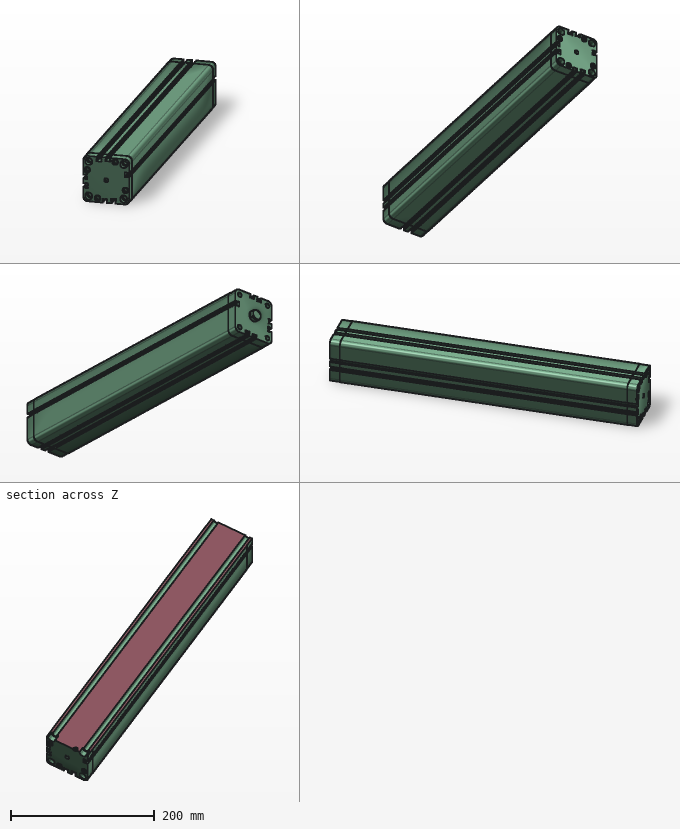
import cadquery as cq

barrel_side = 67.0
cap_step = 0.23
cap_side = barrel_side - 2 * cap_step
length = 453.0
corner_radius = 7.0

rod_length = 7.2
front_cap_length = 14.0
rear_cap_length = 15.0
front_y = -length / 2
rod_tip_y = length / 2
rear_y = rod_tip_y - rod_length
barrel_front_y = front_y + front_cap_length
barrel_rear_y = rear_y - rear_cap_length

slot_mouth_width = 6.0
slot_lip_depth = 3.5
slot_head_width = 7.2
outer_slot_offset = -10.5
outer_slot_depth = 7.0
inner_slot_offset = 2.3
inner_slot_depth = 5.5

mount_offset = 25.5
mount_bore_diameter = 7.0
mount_counterbore_diameter = 10.5
mount_counterbore_depth = 9.0

screw_offset = 12.5
screw_height = 27.5
screw_diameter = 8.0
screw_depth = 2.3
screw_socket_diameter = 6.0
screw_socket_depth = 4.5

center_hole_diameter = 6.0
center_hole_depth = 4.5

rod_diameter = 16.0
rod_tip_chamfer_length = 2.0
rod_tip_chamfer_inset = 1.0
flat_width = 13.0
flat_length = 6.0


def section_plane(y):
    """XZ plane at the given Y whose normal points along +Y and whose local Y is +Z."""
    return cq.Plane(origin=(0, y, 0), xDir=(-1, 0, 0), normal=(0, 1, 0))


def front_drill(x, z, diameter, depth):
    """Cylinder reaching from the front face into the part."""
    return cq.Workplane(section_plane(front_y)).center(-x, z).circle(diameter / 2).extrude(depth)


def quarter_turn(cutter, turns):
    """Cutter for the top moved to the -X, bottom or +X side by 1, 2 or 3 quarter turns."""
    return cutter.rotate((0, 0, 0), (0, 1, 0), -90 * turns)


def t_slot(y_start, y_end, width, offset, depth):
    """T-slot cutter for the top face of a block of the given width."""
    run = y_end - y_start
    top = width / 2
    mid_y = (y_start + y_end) / 2
    mouth = cq.Workplane("XY").box(slot_mouth_width, run, depth)
    mouth = mouth.translate((offset, mid_y, top - depth / 2))
    head_height = depth - slot_lip_depth
    head = cq.Workplane("XY").box(slot_head_width, run, head_height)
    head = head.translate((offset, mid_y, top - depth + head_height / 2))
    return mouth.union(head)


def slotted_block(y_start, y_end, width):
    """Square bar with rounded long edges and T-slots sunk from its own faces."""
    bar = cq.Workplane(section_plane(y_start)).rect(width, width).extrude(y_end - y_start)
    bar = bar.edges("|Y").fillet(corner_radius)
    outer_slot = t_slot(y_start, y_end, width, outer_slot_offset, outer_slot_depth)
    inner_slot = t_slot(y_start, y_end, width, inner_slot_offset, inner_slot_depth)
    for turns in range(4):
        bar = bar.cut(quarter_turn(outer_slot, turns))
    for turns in range(3):
        bar = bar.cut(quarter_turn(inner_slot, turns))
    return bar


def mount_hole():
    """Cutter for a corner hole through caps and barrel, counterbored at the front."""
    bore = front_drill(mount_offset, mount_offset, mount_bore_diameter, rear_y - front_y)
    counterbore = front_drill(
        mount_offset, mount_offset, mount_counterbore_diameter, mount_counterbore_depth
    )
    return bore.union(counterbore)


def screw_recess():
    """Cutter for a stepped blind recess in the front face."""
    recess = front_drill(screw_offset, screw_height, screw_diameter, screw_depth)
    socket = front_drill(screw_offset, screw_height, screw_socket_diameter, screw_socket_depth)
    return recess.union(socket)


def rod_end():
    """Rod stub with a chamfered tip and flats on its +X and -X sides."""
    rod = cq.Workplane(section_plane(rear_y)).circle(rod_diameter / 2).extrude(rod_length)
    rod = rod.faces(">Y").chamfer(rod_tip_chamfer_length, rod_tip_chamfer_inset)
    flats = cq.Workplane("XY").box(flat_width, flat_length, rod_diameter)
    flats = flats.translate((0, rod_tip_y - flat_length / 2, 0))
    shank = cq.Workplane("XY").box(rod_diameter, rod_length - flat_length, rod_diameter)
    shank = shank.translate((0, (rear_y + rod_tip_y - flat_length) / 2, 0))
    return rod.intersect(flats.union(shank))


front_cap = slotted_block(front_y, barrel_front_y, cap_side)
barrel = slotted_block(barrel_front_y, barrel_rear_y, barrel_side)
rear_cap = slotted_block(barrel_rear_y, rear_y, cap_side)
result = front_cap.union(barrel).union(rear_cap)

for turns in range(4):
    for cutter in (mount_hole(), screw_recess()):
        result = result.cut(quarter_turn(cutter, turns))

result = result.cut(front_drill(0, 0, center_hole_diameter, center_hole_depth))
result = result.union(rod_end())